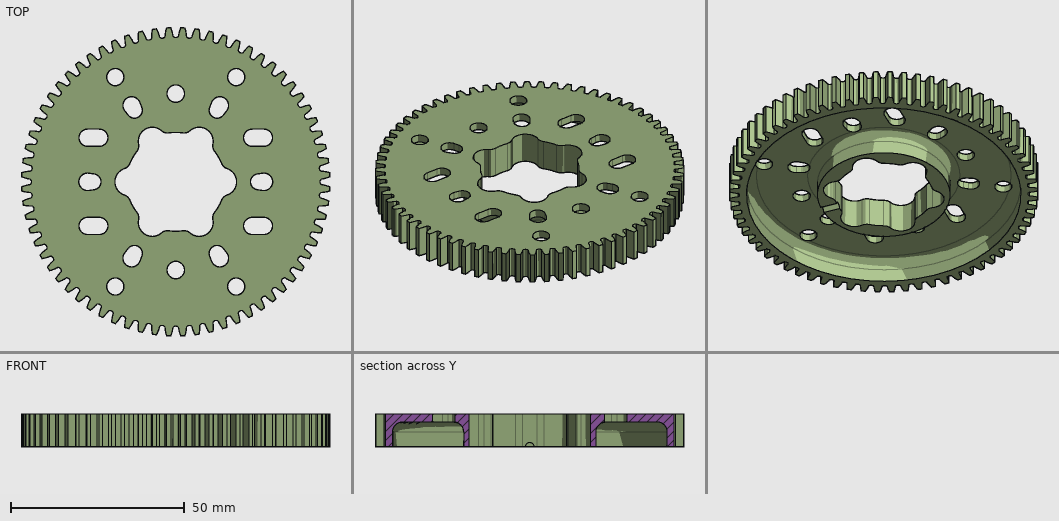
import cadquery as cq
import math

OVERALL_SIZE = 88.85
FACE_WIDTH = 9.5
TOOTH_COUNT = 68
PRESSURE_ANGLE = math.radians(14.5)
ROOT_RADIUS = 41.6
FLANK_START_RADIUS = 41.9

BORE_RADIUS = 14.2
LOBE_COUNT = 6
LOBE_RADIUS = 4.0
LOBE_CENTRE_RADIUS = 13.5
LOBE_BLEND_RADIUS = 2.5

WEB_THICKNESS = 2.4
POCKET_FILLET_RADIUS = 2.8
HUB_RADIUS = 19.1
RIM_INNER_RADIUS = 39.5

GROOVE_RADIUS = 1.2
GROOVE_LENGTH = (HUB_RADIUS + RIM_INNER_RADIUS) / 2

HOLE_PATTERN_COUNT = 6
HOLE_PATTERN_PITCH = 360 / HOLE_PATTERN_COUNT
BOLT_CIRCLE_RADIUS = 25.4
HOLE_DIAMETER = 5.0
OUTER_HOLE_RADIUS = 34.8
OUTER_HOLE_DIAMETER = 4.9
SLOT_WIDTH = 4.9
TAPER_INNER_RADIUS = 23.8
TAPER_INNER_DIAMETER = 4.5


def polar(radius, angle):
    return (radius * math.cos(angle), radius * math.sin(angle))


TOOTH_PITCH = 2 * math.pi / TOOTH_COUNT
PITCH_RADIUS = OVERALL_SIZE / 2 * TOOTH_COUNT / (TOOTH_COUNT + 2)
BASE_RADIUS = PITCH_RADIUS * math.cos(PRESSURE_ANGLE)


def involute(angle):
    return math.tan(angle) - angle


def tooth_half_angle(radius):
    """Half of the angle that the tooth spans at the given radius."""
    flank_angle = math.acos(BASE_RADIUS / radius)
    return TOOTH_PITCH / 4 + involute(PRESSURE_ANGLE) - involute(flank_angle)


TIP_CORNER_ANGLE = TOOTH_PITCH / 2 - tooth_half_angle(OVERALL_SIZE / 2)
TIP_RADIUS = OVERALL_SIZE / 2 / math.cos(TIP_CORNER_ANGLE)
FLANK_MIDDLE_RADIUS = (FLANK_START_RADIUS + TIP_RADIUS) / 2


def gear_blank():
    """Disc with involute teeth, each flank an arc through three points of its involute."""
    tip_half = tooth_half_angle(TIP_RADIUS)
    middle_half = tooth_half_angle(FLANK_MIDDLE_RADIUS)
    start_half = tooth_half_angle(FLANK_START_RADIUS)

    first_tooth = TOOTH_PITCH / 2
    outline = cq.Workplane("XY").moveTo(*polar(FLANK_START_RADIUS, first_tooth - start_half))
    for index in range(TOOTH_COUNT):
        tooth = first_tooth + index * TOOTH_PITCH
        gap = tooth + TOOTH_PITCH / 2
        next_tooth = tooth + TOOTH_PITCH
        outline = (
            outline
            .threePointArc(
                polar(FLANK_MIDDLE_RADIUS, tooth - middle_half),
                polar(TIP_RADIUS, tooth - tip_half),
            )
            .threePointArc(polar(TIP_RADIUS, tooth), polar(TIP_RADIUS, tooth + tip_half))
            .threePointArc(
                polar(FLANK_MIDDLE_RADIUS, tooth + middle_half),
                polar(FLANK_START_RADIUS, tooth + start_half),
            )
            .threePointArc(polar(ROOT_RADIUS, gap), polar(FLANK_START_RADIUS, next_tooth - start_half))
        )
    return outline.close().extrude(FACE_WIDTH)


def lobed_bore():
    """Round bore with lobes, joined by blend arcs."""
    blend_centre_radius = BORE_RADIUS + LOBE_BLEND_RADIUS
    lobe_to_blend = LOBE_RADIUS + LOBE_BLEND_RADIUS
    blend_angle = math.acos(
        (LOBE_CENTRE_RADIUS**2 + blend_centre_radius**2 - lobe_to_blend**2)
        / (2 * LOBE_CENTRE_RADIUS * blend_centre_radius)
    )
    lobe_turn = math.asin(blend_centre_radius * math.sin(blend_angle) / lobe_to_blend)

    def lobe_end(lobe, side):
        centre = polar(LOBE_CENTRE_RADIUS, lobe)
        reach = polar(LOBE_RADIUS, lobe + side * lobe_turn)
        return (centre[0] + reach[0], centre[1] + reach[1])

    def blend_middle(lobe, side):
        centre = polar(blend_centre_radius, lobe + side * blend_angle)
        start = lobe_end(lobe, side)
        end = polar(BORE_RADIUS, lobe + side * blend_angle)
        toward = (start[0] + end[0] - 2 * centre[0], start[1] + end[1] - 2 * centre[1])
        scale = LOBE_BLEND_RADIUS / math.hypot(*toward)
        return (centre[0] + toward[0] * scale, centre[1] + toward[1] * scale)

    lobe_pitch = 2 * math.pi / LOBE_COUNT
    outline = cq.Workplane("XY").moveTo(*lobe_end(0, -1))
    for index in range(LOBE_COUNT):
        lobe = index * lobe_pitch
        next_lobe = lobe + lobe_pitch
        outline = (
            outline
            .threePointArc(polar(LOBE_CENTRE_RADIUS + LOBE_RADIUS, lobe), lobe_end(lobe, 1))
            .threePointArc(blend_middle(lobe, 1), polar(BORE_RADIUS, lobe + blend_angle))
            .threePointArc(
                polar(BORE_RADIUS, lobe + lobe_pitch / 2),
                polar(BORE_RADIUS, next_lobe - blend_angle),
            )
            .threePointArc(blend_middle(next_lobe, -1), lobe_end(next_lobe, -1))
        )
    return outline.close().extrude(FACE_WIDTH)


def bottom_pocket():
    """Ring between hub and rim that leaves the web, with rounded corners at the web."""
    return (
        cq.Workplane("XY")
        .circle(RIM_INNER_RADIUS)
        .circle(HUB_RADIUS)
        .extrude(FACE_WIDTH - WEB_THICKNESS)
        .faces(">Z")
        .edges()
        .fillet(POCKET_FILLET_RADIUS)
    )


def hub_groove():
    """Bar from the gear axis, through one side of the hub and into the open pocket."""
    return cq.Workplane("XZ").circle(GROOVE_RADIUS).extrude(-GROOVE_LENGTH)


def round_holes():
    bolt_holes = (
        cq.Workplane("XY")
        .polarArray(BOLT_CIRCLE_RADIUS, 90, 360, 2)
        .circle(HOLE_DIAMETER / 2)
        .extrude(FACE_WIDTH)
    )
    outer_x, outer_y = polar(OUTER_HOLE_RADIUS, math.radians(HOLE_PATTERN_PITCH))
    outer_holes = (
        cq.Workplane("XY")
        .rect(2 * outer_x, 2 * outer_y, forConstruction=True)
        .vertices()
        .circle(OUTER_HOLE_DIAMETER / 2)
        .extrude(FACE_WIDTH)
    )
    return bolt_holes.add(outer_holes).combine()


def straight_slots():
    inner_x, slot_y = polar(BOLT_CIRCLE_RADIUS, math.radians(HOLE_PATTERN_PITCH / 2))
    slot_length = BOLT_CIRCLE_RADIUS - inner_x + SLOT_WIDTH
    return (
        cq.Workplane("XY")
        .rect(inner_x + BOLT_CIRCLE_RADIUS, 2 * slot_y, forConstruction=True)
        .vertices()
        .slot2D(slot_length, SLOT_WIDTH)
        .extrude(FACE_WIDTH)
    )


def tapered_slot(angle_degrees):
    """Two round ends of different size joined by their common tangents."""
    outer_end = HOLE_DIAMETER / 2
    inner_end = TAPER_INNER_DIAMETER / 2
    tangent = math.acos((outer_end - inner_end) / (BOLT_CIRCLE_RADIUS - TAPER_INNER_RADIUS))
    outer_x, outer_y = polar(outer_end, tangent)
    inner_x, inner_y = polar(inner_end, tangent)
    return (
        cq.Workplane("XY")
        .moveTo(BOLT_CIRCLE_RADIUS - outer_x, -outer_y)
        .threePointArc((BOLT_CIRCLE_RADIUS + outer_end, 0), (BOLT_CIRCLE_RADIUS - outer_x, outer_y))
        .lineTo(TAPER_INNER_RADIUS - inner_x, inner_y)
        .threePointArc((TAPER_INNER_RADIUS - inner_end, 0), (TAPER_INNER_RADIUS - inner_x, -inner_y))
        .close()
        .extrude(FACE_WIDTH)
        .rotate((0, 0, 0), (0, 0, 1), angle_degrees)
    )


result = gear_blank()
for cutter in (lobed_bore(), bottom_pocket(), hub_groove(), round_holes(), straight_slots()):
    result = result.cut(cutter)
for slot_index in range(HOLE_PATTERN_COUNT):
    result = result.cut(tapered_slot(slot_index * HOLE_PATTERN_PITCH))